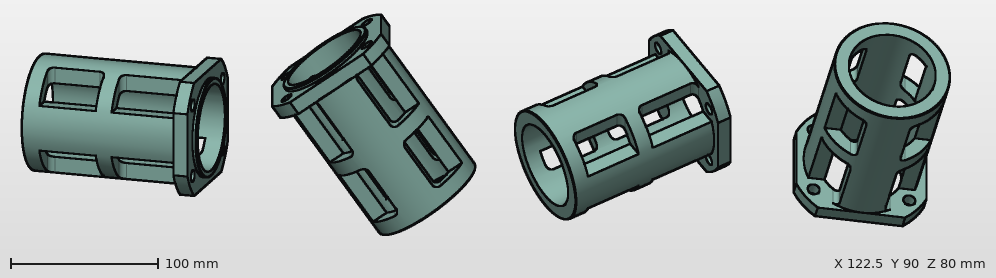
import cadquery as cq

total_length = 122.5
flange_thickness = 10.0
spigot_length = 2.6
flange_end = total_length - spigot_length
flange_start = flange_end - flange_thickness

sleeve_diameter = 80.0
bore_diameter = 60.0
spigot_diameter = 68.0
sleeve_chamfer = 0.5
spigot_chamfer = 0.5

flange_width = 90.0
flange_height = sleeve_diameter
flange_disc_diameter = 100.2
bolt_hole_diameter = 8.2
bolt_spacing_y = 66.2
bolt_spacing_z = 50.0

window_floor_z = 15.8
window_corner_radius = 4.0
short_window_start = 11.8
short_window_length = 40.2
short_window_inner_y = 15.0
long_window_start = 63.2
long_window_inner_y = window_floor_z
long_window_length = flange_start - long_window_start


def cylinder(diameter, start, end):
    """Cylinder along X from start to end."""
    return cq.Workplane("YZ", origin=(start, 0, 0)).circle(diameter / 2).extrude(end - start)


def make_flange():
    """Disc with four flats and a bolt hole near each corner."""
    disc = cylinder(flange_disc_diameter, flange_start, flange_end)
    trim = cq.Workplane("YZ", origin=(flange_start, 0, 0))
    trim = trim.rect(flange_width, flange_height).extrude(flange_thickness)
    holes = cq.Workplane("YZ", origin=(flange_start, 0, 0))
    holes = holes.rect(bolt_spacing_y, bolt_spacing_z, forConstruction=True).vertices()
    holes = holes.circle(bolt_hole_diameter / 2).extrude(flange_thickness)
    return disc.intersect(trim).cut(holes)


def make_window(start, length, inner_y):
    """Cutter for the +Y +Z window: flat floor, inner wall with rounded upright corners."""
    outer_limit = sleeve_diameter / 2
    depth_y = outer_limit - inner_y
    depth_z = outer_limit - window_floor_z
    block = cq.Workplane("XY").box(length, depth_y, depth_z, centered=False)
    block = block.edges("|Z and <Y").fillet(window_corner_radius)
    return block.translate((start, inner_y, window_floor_z))


def cut_windows(body, start, length, inner_y):
    """Cut the same window in all four quadrants."""
    upper_back = make_window(start, length, inner_y)
    upper_front = upper_back.mirror("XZ")
    for window in (upper_back, upper_front):
        body = body.cut(window).cut(window.mirror("XY"))
    return body


sleeve = cylinder(sleeve_diameter, 0, flange_start).faces("<X").edges().chamfer(sleeve_chamfer)
sleeve = sleeve.cut(cylinder(bore_diameter, 0, flange_start))
sleeve = cut_windows(sleeve, short_window_start, short_window_length, short_window_inner_y)
sleeve = cut_windows(sleeve, long_window_start, long_window_length, long_window_inner_y)

spigot = cylinder(spigot_diameter, flange_end, total_length).faces(">X").chamfer(spigot_chamfer)

bore = cylinder(bore_diameter, flange_start, total_length)
result = make_flange().union(spigot).cut(bore).union(sleeve)